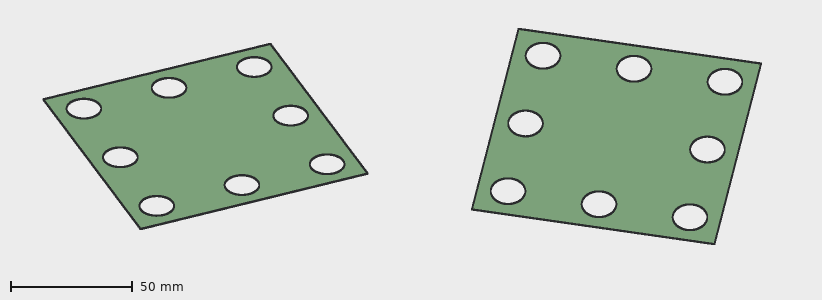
import cadquery as cq

side = 101.6
thickness = 0.38

hole_diameter = 14.2
hole_pitch = 38.1

grid_steps = (-1, 0, 1)
hole_centers = [
    (column * hole_pitch, row * hole_pitch)
    for column in grid_steps
    for row in grid_steps
    if (column, row) != (0, 0)
]

plate = cq.Workplane("XY").box(side, side, thickness)
result = plate.faces(">Z").workplane().pushPoints(hole_centers).hole(hole_diameter)